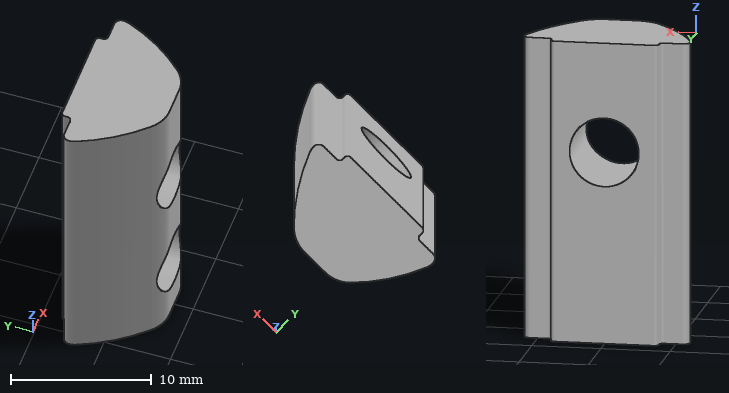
import cadquery as cq
import math

width = 12.0
height = 7.2
length = 22.0
half_width = width / 2

neck_half_width = 3.9
neck_height = 0.8
neck_radius = 0.3

shoulder_radius = 0.5
flank_radius = 14.0
nose_radius = 2.5
nose_flat_half = 1.05
nose_sweep = math.radians(45)

hole_diameter = 5.0
through_hole_z = 14.0
blind_hole_z = 5.0
blind_hole_depth = 5.0
cone_angle = math.radians(140)


def on_circle(center, radius, angle):
    """Point on a circle at an angle measured from +X."""
    return (center[0] + radius * math.cos(angle), center[1] + radius * math.sin(angle))


def make_half_body():
    """Half of the profile at +X, extruded along Z."""
    nose_center = (nose_flat_half, nose_radius - height)
    flank_start_angle = nose_sweep - math.pi / 2
    flank_center = on_circle(nose_center, flank_radius - nose_radius, flank_start_angle + math.pi)

    side_y = -neck_height - shoulder_radius
    offset_x = half_width - flank_center[0]
    offset_y = side_y - flank_center[1]
    side_radius = (flank_radius**2 - offset_x**2 - offset_y**2) / (2 * (flank_radius - offset_x))
    side_center = (half_width - side_radius, side_y)
    flank_end_angle = math.atan2(offset_y, side_center[0] - flank_center[0])
    flank_mid_angle = (flank_start_angle + flank_end_angle) / 2

    profile = (
        cq.Workplane("XY")
        .moveTo(0, -height)
        .lineTo(nose_flat_half, -height)
        .threePointArc(
            on_circle(nose_center, nose_radius, (flank_start_angle - math.pi / 2) / 2),
            on_circle(nose_center, nose_radius, flank_start_angle),
        )
        .threePointArc(
            on_circle(flank_center, flank_radius, flank_mid_angle),
            on_circle(flank_center, flank_radius, flank_end_angle),
        )
        .threePointArc(
            on_circle(side_center, side_radius, flank_end_angle / 2),
            (half_width, side_y),
        )
        .tangentArcPoint((half_width - shoulder_radius, -neck_height), relative=False)
        .lineTo(neck_half_width + neck_radius, -neck_height)
        .tangentArcPoint((neck_half_width, neck_radius - neck_height), relative=False)
        .lineTo(neck_half_width, -neck_radius)
        .tangentArcPoint((neck_half_width - neck_radius, 0), relative=False)
        .lineTo(0, 0)
        .close()
    )
    return profile.extrude(length)


def make_body():
    half = make_half_body()
    return half.union(half.mirror("YZ")).clean()


def make_through_hole():
    plane = cq.Workplane("XZ", origin=(0, 0, through_hole_z))
    return plane.circle(hole_diameter / 2).extrude(height)


def make_blind_hole():
    """Drilled hole with a conical bottom, turned about an axis along Y."""
    radius = hole_diameter / 2
    floor_y = blind_hole_depth - height
    tip_y = floor_y + radius / math.tan(cone_angle / 2)
    return (
        cq.Workplane("XY", origin=(0, 0, blind_hole_z))
        .polyline([(0, -height), (radius, -height), (radius, floor_y), (0, tip_y)])
        .close()
        .revolve(360, (0, 0, 0), (0, 1, 0))
    )


result = make_body().cut(make_through_hole()).cut(make_blind_hole())